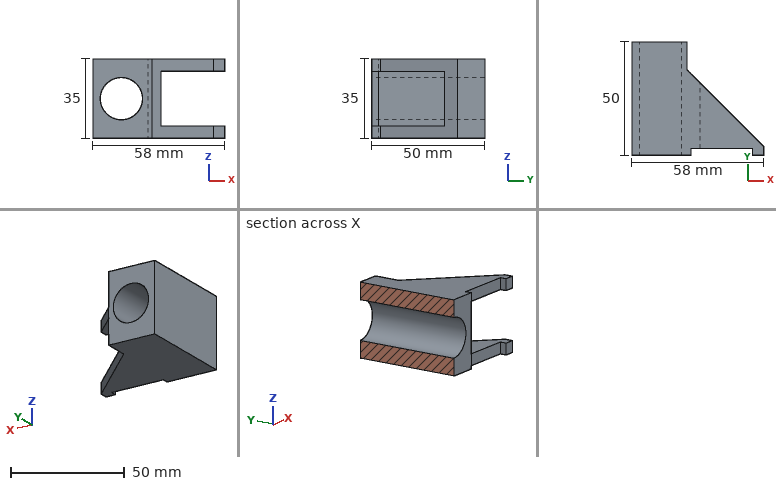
import cadquery as cq

length = 58.0
depth = 50.0
height = 35.0

back_width = 24.25
slope_run = length - back_width
tip_depth = 4.0
slope_top = tip_depth + slope_run

front_width = 26.0
toe_length = 5.0
recess_depth = 3.0

arm_thickness = 5.5
gap_start = 30.0
gap_height = height - 2 * arm_thickness

bore_diameter = 18.5
bore_x = 12.5
bore_z = height / 2


def make_body():
    """Extrude the plan outline over the full height."""
    toe_start = length - toe_length
    outline = [
        (0, 0),
        (front_width, 0),
        (front_width, recess_depth),
        (toe_start, recess_depth),
        (toe_start, 0),
        (length, 0),
        (length, tip_depth),
        (back_width, slope_top),
        (back_width, depth),
        (0, depth),
    ]
    return cq.Workplane("XY").polyline(outline).close().extrude(height)


def make_arm_gap():
    """Box that splits the sloped side into an upper and a lower arm."""
    gap = cq.Workplane("XY").box(length - gap_start, depth, gap_height, centered=False)
    return gap.translate((gap_start, 0, arm_thickness))


def make_bore():
    """Cylinder running through the block from front to rear."""
    axis_start = cq.Vector(bore_x, 0, bore_z)
    axis_direction = cq.Vector(0, 1, 0)
    return cq.Solid.makeCylinder(bore_diameter / 2, depth, axis_start, axis_direction)


result = make_body().cut(make_arm_gap()).cut(cq.Workplane(obj=make_bore()))